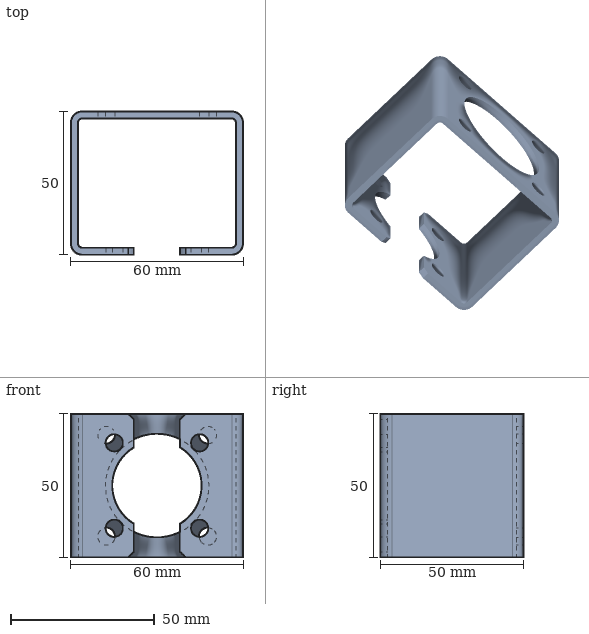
import cadquery as cq
import math

width = 60.0
depth = 50.0
height = 50.0

thickness = 2.5
inner_bend_radius = 1.5
outer_bend_radius = inner_bend_radius + thickness

gap_width = 16.0
lip_chamfer = 2.0

front_bore_diameter = 31.0
back_bore_diameter = 36.0
screw_diameter = 6.0
front_bolt_circle = 42.0
back_bolt_circle = 50.0

front_face_y = -depth / 2
back_inner_y = depth / 2 - thickness


def rounded_box(box_width, box_depth, radius):
    """Centred box with rounded vertical corners."""
    return cq.Workplane("XY").box(box_width, box_depth, height).edges("|Z").fillet(radius)


def wall_cylinder(x, z, diameter, start_y):
    """Cutter along +Y through the one wall that begins at start_y."""
    plane = cq.Plane(origin=(x, start_y, z), xDir=(1, 0, 0), normal=(0, 1, 0))
    return cq.Workplane(plane).circle(diameter / 2).extrude(thickness)


def hole_pattern(bore_diameter, bolt_circle, start_y):
    """Central bore with four screw holes on the diagonals."""
    offset = bolt_circle / 2 / math.sqrt(2)
    cutter = wall_cylinder(0, 0, bore_diameter, start_y)
    for x in (-offset, offset):
        for z in (-offset, offset):
            cutter = cutter.union(wall_cylinder(x, z, screw_diameter, start_y))
    return cutter


def front_opening():
    """Full-height gap, flared at both ends to chamfer the lip corners."""
    half_gap = gap_width / 2
    half_flare = half_gap + lip_chamfer
    half_height = height / 2
    chamfer_z = half_height - lip_chamfer
    plane = cq.Plane(origin=(0, front_face_y, 0), xDir=(1, 0, 0), normal=(0, -1, 0))
    outline = [
        (-half_flare, -half_height),
        (half_flare, -half_height),
        (half_gap, -chamfer_z),
        (half_gap, chamfer_z),
        (half_flare, half_height),
        (-half_flare, half_height),
        (-half_gap, chamfer_z),
        (-half_gap, -chamfer_z),
    ]
    return cq.Workplane(plane).polyline(outline).close().extrude(-thickness)


outer = rounded_box(width, depth, outer_bend_radius)
inner = rounded_box(width - 2 * thickness, depth - 2 * thickness, inner_bend_radius)
bracket = outer.cut(inner)

bracket = bracket.cut(front_opening())
bracket = bracket.cut(hole_pattern(front_bore_diameter, front_bolt_circle, front_face_y))
bracket = bracket.cut(hole_pattern(back_bore_diameter, back_bolt_circle, back_inner_y))

result = bracket